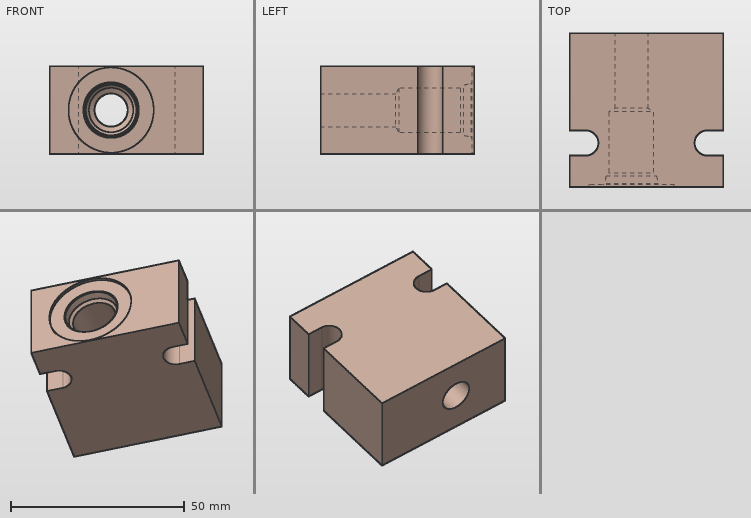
import cadquery as cq
import math

width = 44.45
depth = 44.45
height = 25.4

notch_width = 7.2
notch_reach = 8.3
notch_center_y = 12.7

port_x = 17.8
port_z = height / 2
spotface_diameter = 24.63
spotface_depth = 0.85
mouth_diameter = 16.1
lip_diameter = 15.55
lip_length = 0.22
taper_end_diameter = 14.6
taper_length = 2.15
bore_diameter = 12.8
shoulder_length = 0.9
bore_length = 17.8
through_diameter = 9.5
drill_point_angle = 118.0


def notch(side_x, inward):
    """Round-ended slot tool entering from one side; inward is +1 or -1 along X."""
    radius = notch_width / 2
    round_center_x = side_x + inward * (notch_reach - radius)
    straight = cq.Workplane("XY").box(
        notch_reach - radius, notch_width, height, centered=(True, True, False)
    ).translate(((side_x + round_center_x) / 2, notch_center_y, 0))
    round_end = cq.Workplane("XY").center(round_center_x, notch_center_y).circle(radius).extrude(height)
    return straight.union(round_end)


def port():
    """Spotface, tapered mouth, bore with conical bottom, and through hole as one revolved tool."""
    lip_y = spotface_depth + lip_length
    taper_end_y = lip_y + taper_length
    bore_start_y = taper_end_y + shoulder_length
    bore_end_y = bore_start_y + bore_length
    cone_length = (bore_diameter - through_diameter) / 2 / math.tan(math.radians(drill_point_angle / 2))

    profile = [
        (0, 0),
        (spotface_diameter / 2, 0),
        (spotface_diameter / 2, spotface_depth),
        (mouth_diameter / 2, spotface_depth),
        (lip_diameter / 2, lip_y),
        (taper_end_diameter / 2, taper_end_y),
        (bore_diameter / 2, bore_start_y),
        (bore_diameter / 2, bore_end_y),
        (through_diameter / 2, bore_end_y + cone_length),
        (through_diameter / 2, depth),
        (0, depth),
    ]
    tool = cq.Workplane("XY").polyline(profile).close().revolve(360, (0, 0, 0), (0, 1, 0))
    return tool.translate((port_x, 0, port_z))


result = cq.Workplane("XY").box(width, depth, height, centered=False)
for side_x, inward in ((0, 1), (width, -1)):
    result = result.cut(notch(side_x, inward))
result = result.cut(port())